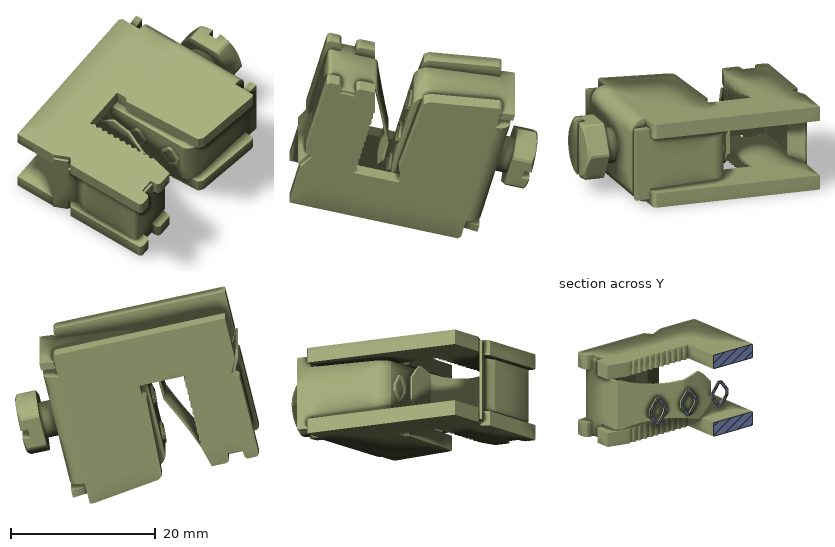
import cadquery as cq
import math


half_length = 11.35
overall_width = 12.0
plate_outer_z = overall_width / 2
plate_inner_z = 3.95
plate_top = 24.4
plate_corner = 0.35
plate_corner_right = 0.15
nose_x = 9.95
nose_y = 14.37
nose_chamfer_x = 9.45
jaw_left = -4.27
jaw_ceiling = 13.75
jaw_corner = 0.13
lip_start_x = -2.77
lip_low = (-2.3, 13.25)
jaw_floor = 7.3
tooth_height = 0.25
tooth_count = 10
tooth_flat = 0.32
tooth_flank = 0.2
first_tooth_x = -3.95
last_tooth_x = 6.05
tooth_pitch = (last_tooth_x - first_tooth_x) / tooth_count
foot_x = 9.65
foot_corner = 0.32
foot_shoulder_y = 6.75
ear_slot_x = 8.28
ear_slot_low = 2.07
ear_slot_high = 4.2
ear_slot_corner = 0.38
ear_slot_taper = 0.05
ear_play = 0.05
notch_left_x = -5.25
notch_apex = (-3.1, 1.05)
notch_right_x = -2.35

sheet = 0.32
clip_bend = 0.38
tab_half_width = 5.55
tab_tip = (-5.05, -0.24)
tab_shoulder_x = -3.15
clip_apex = (-1.9, 1.2)
clip_floor_x = -0.3
clip_floor_y = 0.6
clip_wall_x = ear_slot_x + sheet / 2
clip_half_width = 3.65
leaf_half_width = 3.57
leaf_foot_y = 7.2
leaf_bend_x = -0.32
leaf_top_y = 11.12
leaf_end_x = -5.1
leaf_end_half_width = 1.53
leaf_head_half_width = 3.47
leaf_head_x = -3.0
leaf_head_corner = (-3.8, 2.9)
waist_half_width = 2.55
waist_right_x = 7.8
waist_left_x = -2.68

saddle_thickness = 1.02
saddle_half_width = 3.57
saddle_head_half_width = 5.05
saddle_bottom = 12.85
saddle_top = 26.57
saddle_top_x = 10.23
saddle_wall_foot = (9.08, 14.7)
saddle_bend_middle = (8.63, 13.57)
saddle_bottom_x = 7.65
saddle_inner_bend = 0.95
saddle_shoulder_y = 24.53

ring_span = 11.0
ring_pitch = ring_span / 2
ring_height = 0.32
ring_outer_end = (1.43, 0.48)
ring_outer_side = (0.32, 1.9)
ring_inner_end = (1.05, 0.3)
ring_inner_side = (0.13, 1.53)

bar_half_length = 8.12
bar_top = 26.5
bar_round = 2.07
shank_radius = 2.52
head_bottom = 28.45
head_top = 31.48
head_half_flats = 3.98
head_radius = 4.5
head_chamfer_height = 0.38
head_chamfer_width = 0.65
driver_slot_width = 1.27
driver_slot_depth = 1.08


def slab(profile, half_width):
    """Extrude an XY profile symmetrically about Z = 0."""
    return profile.extrude(half_width, both=True)


def box(x_range, y_range, half_width):
    """Block spanning the given X and Y ranges, symmetric about Z = 0."""
    size = (x_range[1] - x_range[0], y_range[1] - y_range[0], 2 * half_width)
    return cq.Workplane("XY").box(*size, centered=False).translate((x_range[0], y_range[0], -half_width))


def sheet_strip(path, thickness, half_width):
    """Sheet of even thickness whose middle line follows the path, with rounded bends."""
    angles = [math.atan2(b[1] - a[1], b[0] - a[0]) for a, b in zip(path, path[1:])]
    left, right, bends = [], [], []
    for i, (x, y) in enumerate(path):
        before = angles[max(i - 1, 0)]
        after = angles[min(i, len(angles) - 1)]
        half_turn = math.remainder(after - before, 2 * math.pi) / 2
        normal = before + half_turn + math.pi / 2
        reach = thickness / 2 / math.cos(half_turn)
        left.append((x + reach * math.cos(normal), y + reach * math.sin(normal)))
        right.append((x - reach * math.cos(normal), y - reach * math.sin(normal)))
        if half_turn > 0:
            bends += [(left[-1], clip_bend - thickness / 2), (right[-1], clip_bend + thickness / 2)]
        elif half_turn < 0:
            bends += [(left[-1], clip_bend + thickness / 2), (right[-1], clip_bend - thickness / 2)]
    strip = slab(cq.Workplane("XY").polyline(left + right[::-1]).close(), half_width)
    for corner, radius in bends:
        strip = strip.edges(cq.selectors.NearestToPointSelector((*corner, 0))).fillet(radius)
    return strip


def side_plates():
    outline = [
        (-half_length, 0),
        (-half_length, plate_top - plate_corner),
        (-half_length + plate_corner, plate_top),
        (half_length - plate_corner_right, plate_top),
        (half_length, plate_top - plate_corner),
        (nose_x, nose_y),
        (nose_chamfer_x, jaw_ceiling),
        lip_low,
        (lip_start_x, jaw_ceiling),
        (jaw_left + jaw_corner, jaw_ceiling),
        (jaw_left, jaw_ceiling - jaw_corner),
        (jaw_left, jaw_floor),
    ]
    tooth_top = jaw_floor + tooth_height
    for i in range(tooth_count):
        x = first_tooth_x + i * tooth_pitch
        outline += [
            (x, jaw_floor),
            (x + tooth_flank, tooth_top),
            (x + tooth_flank + tooth_flat, tooth_top),
            (x + 2 * tooth_flank + tooth_flat, jaw_floor),
        ]
    outline += [
        (last_tooth_x, jaw_floor),
        (last_tooth_x + tooth_flank, tooth_top),
        (last_tooth_x + tooth_flank + tooth_flat, tooth_top),
        (foot_x, foot_shoulder_y),
        (foot_x, ear_slot_high + ear_slot_corner),
        (foot_x - foot_corner, ear_slot_high),
        (ear_slot_x, ear_slot_high),
        (ear_slot_x, ear_slot_low + ear_slot_taper),
        (foot_x - foot_corner, ear_slot_low - ear_slot_taper),
        (foot_x, ear_slot_low - ear_slot_corner),
        (foot_x, foot_corner),
        (foot_x - foot_corner, 0),
        (notch_right_x, 0),
        notch_apex,
        (notch_left_x, 0),
    ]
    plates = slab(cq.Workplane("XY").polyline(outline).close(), plate_outer_z)
    return plates.cut(box((-half_length, half_length), (0, plate_top), plate_inner_z))


def spring_clip():
    slope = (clip_apex[1] - tab_tip[1]) / (clip_apex[0] - tab_tip[0])
    shoulder = (tab_shoulder_x, tab_tip[1] + slope * (tab_shoulder_x - tab_tip[0]))
    tab = sheet_strip([tab_tip, shoulder], sheet, tab_half_width)

    ear_top = (clip_wall_x, ear_slot_high - ear_play)
    base_path = [tab_tip, clip_apex, (clip_floor_x, clip_floor_y), (clip_wall_x, clip_floor_y), ear_top]
    base = sheet_strip(base_path, sheet, clip_half_width)
    wall_faces = (ear_slot_x, ear_slot_x + sheet)
    ears = box(wall_faces, (ear_slot_low + ear_play, ear_top[1]), tab_half_width)

    leaf_path = [ear_top, (clip_wall_x, leaf_foot_y), (leaf_bend_x, leaf_top_y), (leaf_end_x, leaf_top_y)]
    leaf = sheet_strip(leaf_path, sheet, leaf_half_width)
    waist_middle_x = (waist_right_x + waist_left_x) / 2
    half_plan = (
        cq.Workplane("XZ")
        .moveTo(leaf_end_x, 0)
        .lineTo(leaf_end_x, leaf_end_half_width)
        .lineTo(*leaf_head_corner)
        .lineTo(leaf_head_x, leaf_head_half_width)
        .lineTo(waist_left_x, leaf_head_half_width)
        .threePointArc((waist_middle_x, waist_half_width), (waist_right_x, leaf_half_width))
        .lineTo(half_length, leaf_half_width)
        .lineTo(half_length, 0)
        .close()
        .extrude(-plate_top)
    )
    leaf = leaf.intersect(half_plan.union(half_plan.mirror("XY")))
    return tab.union(base).union(ears).union(leaf)


def saddle():
    wall_x, wall_y = saddle_wall_foot
    middle_x, middle_y = saddle_bend_middle
    outline = (
        cq.Workplane("XY")
        .moveTo(-saddle_top_x, saddle_top)
        .lineTo(-wall_x, wall_y)
        .threePointArc((-middle_x, middle_y), (-saddle_bottom_x, saddle_bottom))
        .lineTo(saddle_bottom_x, saddle_bottom)
        .threePointArc((middle_x, middle_y), (wall_x, wall_y))
        .lineTo(saddle_top_x, saddle_top)
        .close()
    )
    inner_top_x = saddle_top_x - saddle_thickness
    inner_bottom_x = wall_x - saddle_thickness
    inner_bottom = saddle_bottom + saddle_thickness
    hollow_outline = cq.Workplane("XY").polyline([
        (-inner_top_x, saddle_top),
        (-inner_bottom_x, inner_bottom),
        (inner_bottom_x, inner_bottom),
        (inner_top_x, saddle_top),
    ]).close()
    body = slab(outline, saddle_head_half_width)
    hollow = slab(hollow_outline, saddle_head_half_width)
    hollow = hollow.edges("|Z and <Y").fillet(saddle_inner_bend)
    envelope = box((-half_length, half_length), (saddle_bottom, saddle_top), saddle_half_width)
    head = box((-half_length, half_length), (saddle_shoulder_y, saddle_top), saddle_head_half_width)
    return body.cut(hollow).intersect(envelope.union(head))


def diamond(end, side):
    """Closed eight-point outline in XZ: blunt ends along X and short flats along Z."""
    quarter = [end, side]
    upper = quarter + [(-x, z) for x, z in quarter[::-1]]
    lower = [(-x, -z) for x, z in upper]
    return cq.Workplane("XZ").polyline(upper + lower).close()


def saddle_rings():
    ring = diamond(ring_outer_end, ring_outer_side).extrude(ring_height)
    ring = ring.cut(diamond(ring_inner_end, ring_inner_side).extrude(ring_height))
    rings = cq.Workplane("XY")
    for i in (-1, 0, 1):
        rings = rings.union(ring.translate((i * ring_pitch, saddle_bottom, 0)))
    return rings


def threaded_bar():
    bar = box((-bar_half_length, bar_half_length), (plate_top, bar_top), plate_outer_z)
    return bar.edges("|X and >Y").fillet(bar_round)


def screw():
    shank_bottom = saddle_bottom + saddle_thickness / 2
    head_plane = cq.Workplane("XZ", origin=(0, head_bottom, 0))
    shank = head_plane.circle(shank_radius).extrude(head_bottom - shank_bottom)
    head_height = head_top - head_bottom
    hexagon = head_plane.polygon(6, 2 * head_half_flats / math.cos(math.pi / 6)).extrude(-head_height)
    blank = head_plane.circle(head_radius).extrude(-head_height)
    blank = blank.faces(">Y").chamfer(head_chamfer_height, head_chamfer_width)
    half_slot = driver_slot_width / 2
    slot = box((-half_slot, half_slot), (head_top - driver_slot_depth, head_top), head_radius)
    return hexagon.intersect(blank).cut(slot).union(shank)


result = side_plates().union(spring_clip()).union(threaded_bar()).union(screw())
result = result.union(saddle()).union(saddle_rings())